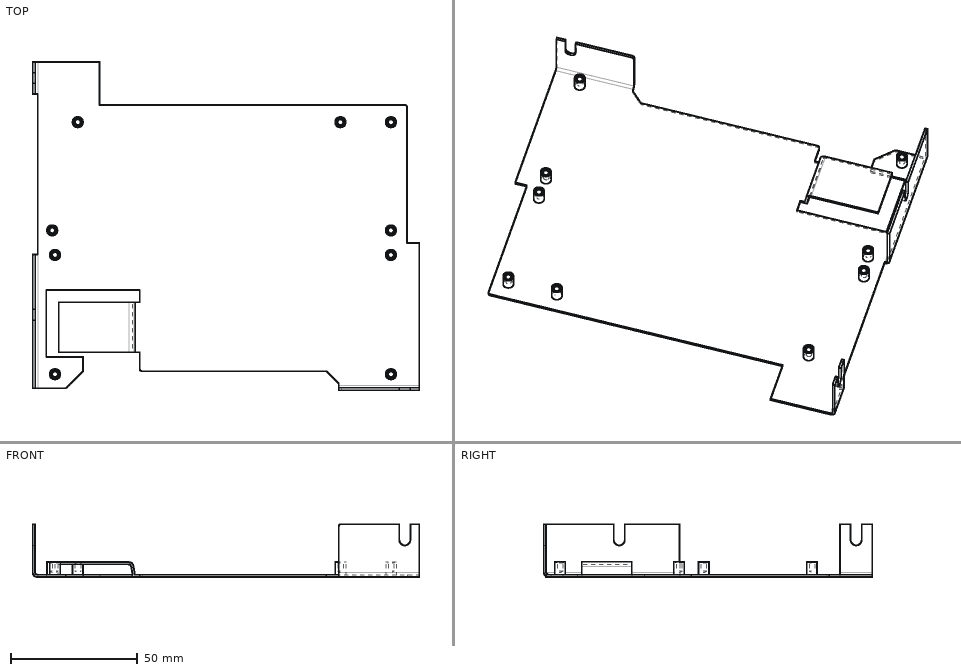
import cadquery as cq
import math

SHEET = 1.0
LENGTH = 153.1
WIDTH = 130.0
HEIGHT = 21.0
BEND_IN = 1.0
BEND_OUT = BEND_IN + SHEET
CORNER = 1.0

LEFT_EDGE = BEND_OUT
FRONT_EDGE = BEND_OUT
FOOT_FRONT = 0.8
BODY_FRONT = 7.5
EAR_RIGHT = 26.6
BODY_REAR = 113.0
BODY_RIGHT = 148.2
STEP_Y = 58.4
FOOT_RIGHT = 20.0
FOOT_CHAMFER = 6.8
FRONT_CHAMFER = 4.8
WINDOW_LEFT = 5.5
WINDOW_RIGHT = 42.4
WINDOW_FRONT = 13.3
WINDOW_REAR = 39.7

FRONT_WALL_LEFT = 121.1
LONG_WALL_REAR = 53.8
SHORT_WALL_FRONT = 117.2
SLOT_WIDTH = 4.3
LONG_WALL_SLOT_Y = 29.9
SHORT_WALL_SLOT_Y = (SHORT_WALL_FRONT + WIDTH) / 2
FRONT_WALL_SLOT_X = 147.3
SLOT_DEPTH = 8.4

TONGUE_LEFT = 10.3
TONGUE_BEND_X = 38.0
TONGUE_FRONT = 15.0
TONGUE_REAR = 34.9
TONGUE_TOP = 6.0
TONGUE_ANGLE = math.radians(80)

STANDOFF_DIAMETER = 4.2
STANDOFF_TOP = TONGUE_TOP
STANDOFF_HEIGHT = STANDOFF_TOP - SHEET
BORE_DIAMETER = 2.2
BORE_DEPTH = 3.5
DRILL_HALF_ANGLE = math.radians(59)
BORE_CHAMFER = 0.4
FRONT_ROW_Y = 6.4
MIDDLE_ROW_Y = 53.6
UPPER_ROW_Y = 63.3
REAR_ROW_Y = 106.1
LEFT_COLUMN_X = 8.9
UPPER_LEFT_X = 7.8
REAR_LEFT_X = 17.9
REAR_MIDDLE_X = 121.8
RIGHT_COLUMN_X = 141.8
STANDOFF_PLACES = [
    (LEFT_COLUMN_X, FRONT_ROW_Y),
    (RIGHT_COLUMN_X, FRONT_ROW_Y),
    (LEFT_COLUMN_X, MIDDLE_ROW_Y),
    (RIGHT_COLUMN_X, MIDDLE_ROW_Y),
    (UPPER_LEFT_X, UPPER_ROW_Y),
    (RIGHT_COLUMN_X, UPPER_ROW_Y),
    (REAR_LEFT_X, REAR_ROW_Y),
    (REAR_MIDDLE_X, REAR_ROW_Y),
    (RIGHT_COLUMN_X, REAR_ROW_Y),
]


def make_plate():
    """Flat base of the sheet, with the open window at the front left."""
    plate = (
        cq.Workplane("XY")
        .moveTo(LEFT_EDGE, FOOT_FRONT)
        .lineTo(FOOT_RIGHT - FOOT_CHAMFER, FOOT_FRONT)
        .lineTo(FOOT_RIGHT, BODY_FRONT)
        .lineTo(FOOT_RIGHT, WINDOW_FRONT)
        .lineTo(WINDOW_LEFT, WINDOW_FRONT)
        .lineTo(WINDOW_LEFT, WINDOW_REAR)
        .lineTo(WINDOW_RIGHT, WINDOW_REAR)
        .lineTo(WINDOW_RIGHT, BODY_FRONT)
        .lineTo(FRONT_WALL_LEFT - FRONT_CHAMFER, BODY_FRONT)
        .lineTo(FRONT_WALL_LEFT, BODY_FRONT - FRONT_CHAMFER)
        .lineTo(FRONT_WALL_LEFT, FRONT_EDGE)
        .lineTo(LENGTH, FRONT_EDGE)
        .lineTo(LENGTH, STEP_Y)
        .lineTo(BODY_RIGHT, STEP_Y)
        .lineTo(BODY_RIGHT, BODY_REAR)
        .lineTo(EAR_RIGHT, BODY_REAR)
        .lineTo(EAR_RIGHT, WIDTH)
        .lineTo(LEFT_EDGE, WIDTH)
        .close()
        .extrude(SHEET)
    )
    for x, y in [(WINDOW_RIGHT, BODY_FRONT), (BODY_RIGHT, BODY_REAR)]:
        corner = cq.selectors.NearestToPointSelector((x, y, SHEET / 2))
        plate = plate.edges("|Z").edges(corner).fillet(CORNER)
    return plate


def make_wall(plane, length):
    """Bend and upright wall; local x runs inward from the wall face, local y is up."""
    mid = math.sqrt(0.5)
    return (
        cq.Workplane(plane)
        .moveTo(BEND_OUT, 0)
        .threePointArc((BEND_OUT * (1 - mid), BEND_OUT * (1 - mid)), (0, BEND_OUT))
        .lineTo(0, HEIGHT)
        .lineTo(SHEET, HEIGHT)
        .lineTo(SHEET, BEND_OUT)
        .threePointArc((BEND_OUT - BEND_IN * mid, BEND_OUT - BEND_IN * mid), (BEND_OUT, SHEET))
        .close()
        .extrude(length)
    )


def make_slot(plane):
    """Cutter for a slot with a round bottom, open at the top of a wall."""
    radius = SLOT_WIDTH / 2
    bottom = HEIGHT - SLOT_DEPTH
    return (
        cq.Workplane(plane)
        .moveTo(-radius, HEIGHT)
        .lineTo(-radius, bottom + radius)
        .threePointArc((0, bottom), (radius, bottom + radius))
        .lineTo(radius, HEIGHT)
        .close()
        .extrude(SHEET)
    )


def make_left_wall(front, rear, slot_y):
    """Wall along the left edge from y = front to y = rear."""
    wall_plane = cq.Plane(origin=(0, rear, 0), xDir=(1, 0, 0), normal=(0, -1, 0))
    slot_plane = cq.Plane(origin=(0, slot_y, 0), xDir=(0, 1, 0), normal=(1, 0, 0))
    return make_wall(wall_plane, rear - front).cut(make_slot(slot_plane))


def make_front_wall():
    """Wall along the front edge, at the right end of the plate."""
    wall_plane = cq.Plane(origin=(FRONT_WALL_LEFT, 0, 0), xDir=(0, 1, 0), normal=(1, 0, 0))
    slot_plane = cq.Plane(origin=(FRONT_WALL_SLOT_X, SHEET, 0), xDir=(1, 0, 0), normal=(0, -1, 0))
    wall = make_wall(wall_plane, LENGTH - FRONT_WALL_LEFT)
    top_left = cq.selectors.NearestToPointSelector((FRONT_WALL_LEFT, SHEET / 2, HEIGHT))
    return wall.edges("|Y").edges(top_left).fillet(CORNER).cut(make_slot(slot_plane))


def make_tongue():
    """Tongue that slopes up out of the plate, bends over and runs flat across the window."""
    center_z = TONGUE_TOP - BEND_OUT

    def bend_point(radius, angle):
        return (TONGUE_BEND_X + radius * math.sin(angle), center_z + radius * math.cos(angle))

    outer_end = bend_point(BEND_OUT, TONGUE_ANGLE)
    inner_end = bend_point(BEND_IN, TONGUE_ANGLE)
    run_per_drop = 1 / math.tan(TONGUE_ANGLE)
    outer_foot_x = outer_end[0] + (outer_end[1] - SHEET) * run_per_drop
    inner_foot_x = inner_end[0] + (inner_end[1] - SHEET) * run_per_drop
    return (
        cq.Workplane("XZ", origin=(0, TONGUE_REAR, 0))
        .moveTo(TONGUE_LEFT, TONGUE_TOP)
        .lineTo(TONGUE_BEND_X, TONGUE_TOP)
        .threePointArc(bend_point(BEND_OUT, TONGUE_ANGLE / 2), outer_end)
        .lineTo(outer_foot_x, SHEET)
        .lineTo(WINDOW_RIGHT, SHEET)
        .lineTo(WINDOW_RIGHT, 0)
        .lineTo(inner_foot_x, 0)
        .lineTo(inner_foot_x, SHEET)
        .lineTo(*inner_end)
        .threePointArc(bend_point(BEND_IN, TONGUE_ANGLE / 2), bend_point(BEND_IN, 0))
        .lineTo(TONGUE_LEFT, TONGUE_TOP - SHEET)
        .close()
        .extrude(TONGUE_REAR - TONGUE_FRONT)
    )


def make_bracket():
    """The folded sheet: plate, three upright walls and the tongue in one piece."""
    return (
        make_plate()
        .union(make_left_wall(FOOT_FRONT, LONG_WALL_REAR, LONG_WALL_SLOT_Y))
        .union(make_left_wall(SHORT_WALL_FRONT, WIDTH, SHORT_WALL_SLOT_Y))
        .union(make_front_wall())
        .union(make_tongue())
    )


def make_standoff(x, y):
    """Round standoff on the plate, with a blind bore from the top that ends in a drill point."""
    radius = STANDOFF_DIAMETER / 2
    bore_radius = BORE_DIAMETER / 2
    bore_end = STANDOFF_HEIGHT - BORE_DEPTH
    point_depth = bore_radius / math.tan(DRILL_HALF_ANGLE)
    return (
        cq.Workplane("XZ")
        .lineTo(radius, 0)
        .lineTo(radius, STANDOFF_HEIGHT)
        .lineTo(bore_radius + BORE_CHAMFER, STANDOFF_HEIGHT)
        .lineTo(bore_radius, STANDOFF_HEIGHT - BORE_CHAMFER)
        .lineTo(bore_radius, bore_end)
        .lineTo(0, bore_end - point_depth)
        .close()
        .revolve(360, (0, 0, 0), (0, 1, 0))
        .translate((x, y, SHEET))
    )


bracket = make_bracket()
standoffs = [make_standoff(x, y) for x, y in STANDOFF_PLACES]

result = cq.Compound.makeCompound([bracket.val(), *[standoff.val() for standoff in standoffs]])